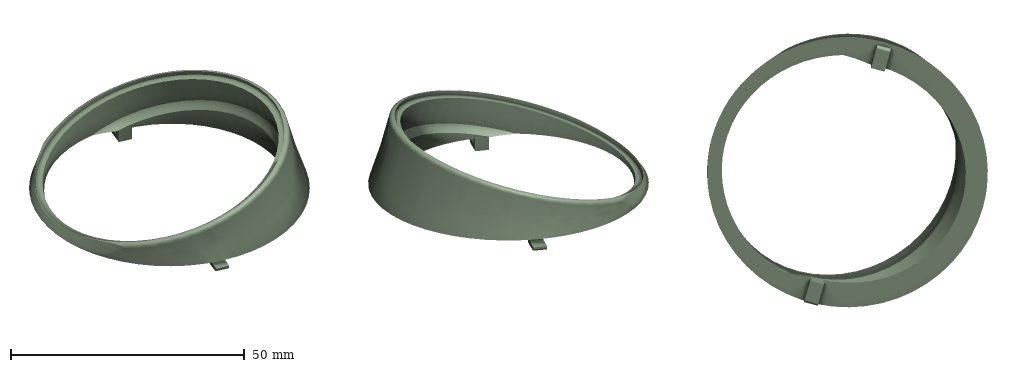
import cadquery as cq
import math

TILT = 15.0
BASE_RADIUS = 30.0
WAIST_RADIUS = 29.2
WAIST_TILT = 4.4
WAIST_HEIGHT = 2.85
WAIST_OFFSET = 0.85
RIM_RADIUS = 28.5
RIM_DISTANCE = 9.0
RIM_FILLET = 1.0

BEVEL_HEIGHT = 3.6
BEVEL_CLEARANCE = 0.05
BEVEL_SET_BACK = 2.4
BEVEL_TOP_RADIUS = 34.5

SEAT_RADIUS = 55.0 / 2
SEAT_DEPTH = 1.0
BORE_RADIUS = 52.0 / 2
LIP_RADIUS = 49.0 / 2
LIP_CONE_TOP = 2.0
LIP_CONE_HEIGHT = BORE_RADIUS - LIP_RADIUS
BORE_OVERRUN = 12.0

HOOK_WIDTH = 3.0
HOOK_DROP = 3.0
POST_THICKNESS = BORE_RADIUS - LIP_RADIUS
FOOT_THICKNESS = 1.0
FOOT_TIP = 29.6
TOE_FILLET = 0.7


def tilted_axis(degrees):
    """Unit vector along Z, leaned towards -Y."""
    angle = math.radians(degrees)
    return cq.Vector(0, -math.sin(angle), math.cos(angle))


def make_outside():
    """Ring blank: one smooth wall through the base, waist and rim circles, with a rounded rim."""
    rim_axis = tilted_axis(TILT)
    base = cq.Wire.makeCircle(BASE_RADIUS, cq.Vector(0, 0, 0), cq.Vector(0, 0, 1))
    waist_center = cq.Vector(0, -WAIST_OFFSET, WAIST_HEIGHT)
    waist = cq.Wire.makeCircle(WAIST_RADIUS, waist_center, tilted_axis(WAIST_TILT))
    rim = cq.Wire.makeCircle(RIM_RADIUS, rim_axis * RIM_DISTANCE, rim_axis)
    blank = cq.Workplane(obj=cq.Solid.makeLoft([base, waist, rim]))
    return blank.faces(">Z").edges().fillet(RIM_FILLET)


def make_bevel_envelope():
    """Oblique cone just outside the base circle, whose -Y side leans inward, topped by a wide block."""
    vertical = cq.Vector(0, 0, 1)
    base = cq.Wire.makeCircle(BASE_RADIUS + BEVEL_CLEARANCE, cq.Vector(0, 0, 0), vertical)
    front = BASE_RADIUS - BEVEL_SET_BACK
    top_center = cq.Vector(0, BEVEL_TOP_RADIUS - front, BEVEL_HEIGHT)
    top = cq.Wire.makeCircle(BEVEL_TOP_RADIUS, top_center, vertical)
    cone = cq.Workplane(obj=cq.Solid.makeLoft([base, top], True))
    size = 4 * BASE_RADIUS
    above = cq.Workplane("XY").box(size, size, size, centered=(True, True, False))
    return cone.union(above.translate((0, 0, BEVEL_HEIGHT)))


def make_bore():
    """Stepped bore around the tilted axis: lip, cone, main bore and seat below the rim."""
    axis = tilted_axis(TILT)
    normal = cq.Vector(1, 0, 0).cross(axis)
    plane = cq.Plane(origin=(0, 0, 0), xDir=(1, 0, 0), normal=normal.toTuple())
    seat = RIM_DISTANCE - SEAT_DEPTH
    profile = [
        (0, -BORE_OVERRUN),
        (LIP_RADIUS, -BORE_OVERRUN),
        (LIP_RADIUS, LIP_CONE_TOP - LIP_CONE_HEIGHT),
        (BORE_RADIUS, LIP_CONE_TOP),
        (BORE_RADIUS, seat),
        (SEAT_RADIUS, seat),
        (SEAT_RADIUS, RIM_DISTANCE + BORE_OVERRUN),
        (0, RIM_DISTANCE + BORE_OVERRUN),
    ]
    return cq.Workplane(plane).polyline(profile).close().revolve(360, (0, 0, 0), (0, 1, 0))


def make_ring():
    return make_outside().intersect(make_bevel_envelope()).cut(make_bore())


def make_hook(side):
    """L-shaped hook under the ring, its foot pointing outward; side is +1 for +X, -1 for -X."""
    inner = side * LIP_RADIUS
    outer = side * (LIP_RADIUS + POST_THICKNESS)
    tip = side * FOOT_TIP
    foot_top = FOOT_THICKNESS - HOOK_DROP
    toe_start = side * (FOOT_TIP - TOE_FILLET)
    return (
        cq.Workplane("XZ")
        .moveTo(inner, 0)
        .lineTo(outer, 0)
        .lineTo(outer, foot_top)
        .lineTo(tip, foot_top)
        .lineTo(tip, TOE_FILLET - HOOK_DROP)
        .radiusArc((toe_start, -HOOK_DROP), side * TOE_FILLET)
        .lineTo(inner, -HOOK_DROP)
        .close()
        .extrude(HOOK_WIDTH / 2, both=True)
    )


ring = make_ring()
hooks = [make_hook(side) for side in (1, -1)]
result = cq.Compound.makeCompound([ring.val(), *[hook.val() for hook in hooks]])